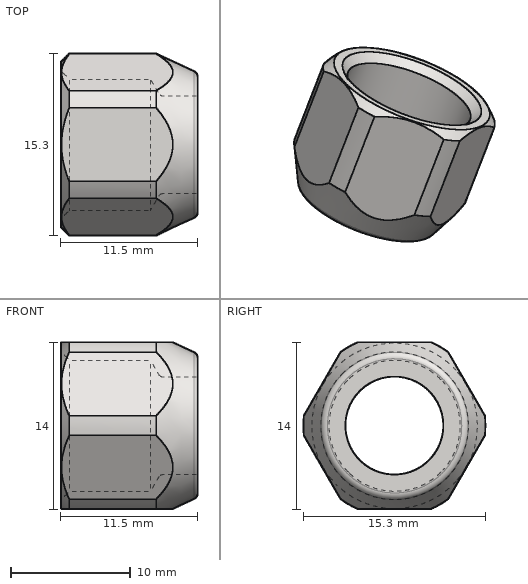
import cadquery as cq
import math

LENGTH = 11.5
ACROSS_FLATS = 14.0
CORNER_DIAMETER = 15.3

FRONT_FACE_RADIUS = 6.95
FRONT_CHAMFER = CORNER_DIAMETER / 2 - FRONT_FACE_RADIUS
TAPER_START = 8.0
TAPER_ANGLE = math.radians(25)
NOSE_FILLET = 0.6

BORE_RADIUS = 5.5
MOUTH_CHAMFER = 0.7
SEAT_START = 7.5
SEAT_ANGLE = math.radians(60)
HOLE_RADIUS = 4.1
SEAT_FILLET = 0.4


def hexagonal_prism():
    """Bar with two flats square to Z and two corners on the Y axis."""
    corner_to_corner = ACROSS_FLATS / math.cos(math.pi / 6)
    return cq.Workplane("YZ").polygon(6, corner_to_corner).extrude(LENGTH)


def turned_envelope():
    """Turned outside: chamfered front, round corners, tapered nose."""
    corner_radius = CORNER_DIAMETER / 2
    nose_radius = corner_radius - (LENGTH - TAPER_START) * math.tan(TAPER_ANGLE)
    profile = (
        cq.Workplane("XY")
        .moveTo(0, 0)
        .lineTo(0, FRONT_FACE_RADIUS)
        .lineTo(FRONT_CHAMFER, corner_radius)
        .lineTo(TAPER_START, corner_radius)
        .lineTo(LENGTH, nose_radius)
        .lineTo(LENGTH, 0)
        .close()
    )
    envelope = profile.revolve(360, (0, 0, 0), (1, 0, 0))
    return envelope.faces(">X").edges().fillet(NOSE_FILLET)


def seat_to_hole_blend(seat_end):
    """Start, middle and end of the arc joining the conical seat to the hole."""
    tangent_length = SEAT_FILLET * math.tan(SEAT_ANGLE / 2)
    center_x = seat_end + tangent_length
    center_radius = HOLE_RADIUS + SEAT_FILLET
    turns = (SEAT_ANGLE, SEAT_ANGLE / 2, 0)
    return [
        (center_x - SEAT_FILLET * math.sin(turn), center_radius - SEAT_FILLET * math.cos(turn))
        for turn in turns
    ]


def stepped_bore():
    """Material removed along the axis."""
    seat_end = SEAT_START + (BORE_RADIUS - HOLE_RADIUS) / math.tan(SEAT_ANGLE)
    blend_start, blend_middle, blend_end = seat_to_hole_blend(seat_end)
    profile = (
        cq.Workplane("XY")
        .moveTo(0, 0)
        .lineTo(0, BORE_RADIUS + MOUTH_CHAMFER)
        .lineTo(MOUTH_CHAMFER, BORE_RADIUS)
        .lineTo(SEAT_START, BORE_RADIUS)
        .lineTo(*blend_start)
        .threePointArc(blend_middle, blend_end)
        .lineTo(LENGTH, HOLE_RADIUS)
        .lineTo(LENGTH, 0)
        .close()
    )
    return profile.revolve(360, (0, 0, 0), (1, 0, 0))


result = hexagonal_prism().intersect(turned_envelope()).cut(stepped_bore())